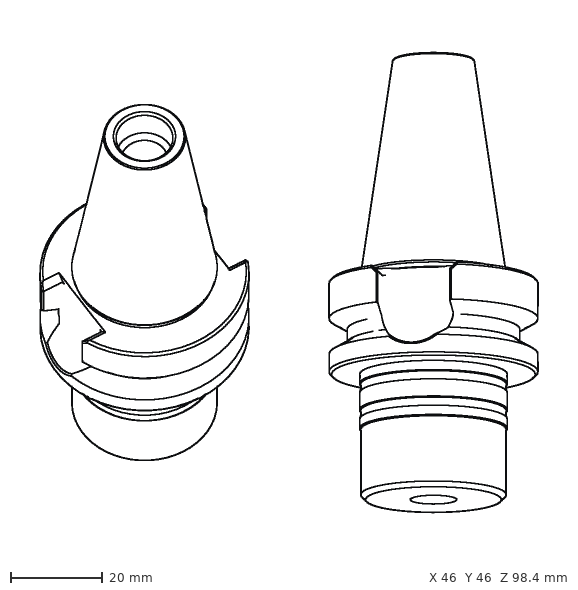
import cadquery as cq
import math

total_height = 98.4
flange_bottom_z = 28.0
flange_top_z = 49.0
taper_base_z = 50.6

taper_top_diameter = 18.0
taper_base_diameter = 32.0
taper_neck_diameter = 31.2
taper_top_chamfer = 0.3

flange_diameter = 46.0
flange_chamfer = 0.6
groove_diameter = 38.0
groove_upper_z = 40.5
groove_lower_z = 32.6
groove_flank_angle = 30.0
groove_corner_fillet = 0.3
flange_recess_diameter = 34.8
flange_recess_depth = 0.1
flange_recess_ramp = 0.6
flange_recess_arc_height = 0.3

nose_diameter = 32.0
nose_chamfer = 1.1
band_diameter = 32.5
band_bottom_z = 15.9
relief_bottom_heights = (18.0, 23.9)
relief_ramp_depth = 0.2
relief_ramp_height = 0.6
relief_arc_height = 1.3
flange_relief_height = 1.1
flange_relief_depth = 0.1

bore_diameter = 10.1
counterbore_diameter = 12.5
counterbore_depth = 7.0
counterbore_chamfer = 0.6

slot_width = 16.1
slot_floor_y = 16.1
slot_bottom_z = 31.0
slot_floor_fillet = 0.6
slot_mouth_chamfer = 1.6
slot_edge_chamfer = 0.4


def add_ring_relief(profile, bottom_z):
    """Continue a rising profile through a shallow relief: ramp in, tangent arc, 45 degree bevel out."""
    band_radius = band_diameter / 2
    floor_radius = band_radius - relief_ramp_depth
    arc_bottom_z = bottom_z + relief_ramp_height
    arc_top_z = arc_bottom_z + relief_arc_height
    return (
        profile.lineTo(band_radius, bottom_z)
        .lineTo(floor_radius, arc_bottom_z)
        .tangentArcPoint((floor_radius, arc_top_z), relative=False)
        .lineTo(band_radius, arc_top_z + relief_ramp_depth)
    )


def turned_body():
    """Everything of revolution on the outside: nose, grooved flange and taper shank."""
    nose_radius = nose_diameter / 2
    band_radius = band_diameter / 2
    band_bevel = band_radius - nose_radius
    flange_radius = flange_diameter / 2
    groove_radius = groove_diameter / 2
    flank_height = (flange_radius - groove_radius) * math.tan(math.radians(groove_flank_angle))
    recess_radius = flange_recess_diameter / 2
    recess_bottom_z = flange_top_z - flange_recess_depth
    neck_radius = taper_neck_diameter / 2
    taper_base_radius = taper_base_diameter / 2
    collar_bevel = taper_base_radius - neck_radius
    taper_top_radius = taper_top_diameter / 2

    profile = (
        cq.Workplane("XZ")
        .moveTo(0, 0)
        .lineTo(nose_radius - nose_chamfer, 0)
        .lineTo(nose_radius, nose_chamfer)
        .lineTo(nose_radius, band_bottom_z - band_bevel)
        .lineTo(band_radius, band_bottom_z)
    )
    for bottom_z in relief_bottom_heights:
        profile = add_ring_relief(profile, bottom_z)
    profile = (
        profile.lineTo(band_radius, flange_bottom_z - flange_relief_height)
        .sagittaArc((band_radius, flange_bottom_z), flange_relief_depth)
        .lineTo(flange_radius - flange_chamfer, flange_bottom_z)
        .lineTo(flange_radius, flange_bottom_z + flange_chamfer)
        .lineTo(flange_radius, groove_lower_z)
        .lineTo(groove_radius, groove_lower_z + flank_height)
        .lineTo(groove_radius, groove_upper_z - flank_height)
        .lineTo(flange_radius, groove_upper_z)
        .lineTo(flange_radius, flange_top_z - flange_chamfer)
        .lineTo(flange_radius - flange_chamfer, flange_top_z)
        .lineTo(recess_radius, flange_top_z)
        .lineTo(recess_radius - flange_recess_ramp, recess_bottom_z)
        .tangentArcPoint((neck_radius, recess_bottom_z + flange_recess_arc_height), relative=False)
        .lineTo(neck_radius, taper_base_z - collar_bevel)
        .lineTo(taper_base_radius, taper_base_z)
        .lineTo(taper_top_radius, total_height - taper_top_chamfer)
        .lineTo(taper_top_radius - taper_top_chamfer, total_height)
        .lineTo(0, total_height)
        .close()
    )
    body = profile.revolve(360, (0, 0, 0), (0, 1, 0))
    groove_center_z = (groove_lower_z + groove_upper_z) / 2
    groove_mouth_height = groove_upper_z - groove_lower_z
    groove_corners = cq.selectors.BoxSelector(
        (-1, -1, groove_center_z - groove_mouth_height / 4),
        (1, 1, groove_center_z + groove_mouth_height / 4),
    )
    return body.edges(groove_corners).fillet(groove_corner_fillet)


def axial_bore():
    """Through hole, wider at the taper end, with a 45 degree seat and mouth chamfer."""
    hole_radius = bore_diameter / 2
    wide_radius = counterbore_diameter / 2
    shoulder_z = total_height - counterbore_depth
    return (
        cq.Workplane("XZ")
        .moveTo(0, 0)
        .lineTo(hole_radius, 0)
        .lineTo(hole_radius, shoulder_z - (wide_radius - hole_radius))
        .lineTo(wide_radius, shoulder_z)
        .lineTo(wide_radius, total_height - counterbore_chamfer)
        .lineTo(wide_radius + counterbore_chamfer, total_height)
        .lineTo(0, total_height)
        .close()
        .revolve(360, (0, 0, 0), (0, 1, 0))
    )


def drive_slot():
    """Round-bottomed slot cutter for the -Y side."""
    half_width = slot_width / 2
    mouth_half_width = half_width + slot_mouth_chamfer
    length = flange_diameter / 2 - slot_floor_y
    floor_plane = cq.Workplane("XZ", origin=(0, -slot_floor_y, 0))
    slot = (
        floor_plane.moveTo(-half_width, flange_top_z)
        .lineTo(-half_width, slot_bottom_z + half_width)
        .threePointArc((0, slot_bottom_z), (half_width, slot_bottom_z + half_width))
        .lineTo(half_width, flange_top_z)
        .close()
        .extrude(length)
        .faces(">Y")
        .edges("not >Z")
        .fillet(slot_floor_fillet)
    )
    mouth = (
        floor_plane.moveTo(-mouth_half_width, flange_top_z)
        .lineTo(-half_width, flange_top_z - slot_mouth_chamfer)
        .lineTo(half_width, flange_top_z - slot_mouth_chamfer)
        .lineTo(mouth_half_width, flange_top_z)
        .close()
        .extrude(length)
    )
    return slot.union(mouth)


def break_slot_edges(body):
    """Chamfer the slot edges that lie on the outside of the flange."""
    flange_radius = flange_diameter / 2
    mouth_half_width = slot_width / 2 + slot_mouth_chamfer
    radius_tolerance = 0.01

    def is_on_outside(point):
        return abs(math.hypot(point.X, point.Y) - flange_radius) < radius_tolerance

    def is_outer_slot_edge(edge):
        """True for an edge that ends on the flange surface, within the width of a slot mouth."""
        center = edge.Center()
        ends_on_outside = all(is_on_outside(end) for end in edge.Vertices())
        return ends_on_outside and abs(center.x) < mouth_half_width and abs(center.y) > slot_floor_y

    slot_edges = [edge for edge in body.edges().vals() if is_outer_slot_edge(edge)]
    return body.newObject(slot_edges).chamfer(slot_edge_chamfer)


front_slot = drive_slot()
back_slot = front_slot.rotate((0, 0, 0), (0, 0, 1), 180)
slotted_body = turned_body().cut(axial_bore()).cut(front_slot).cut(back_slot)
result = break_slot_edges(slotted_body)